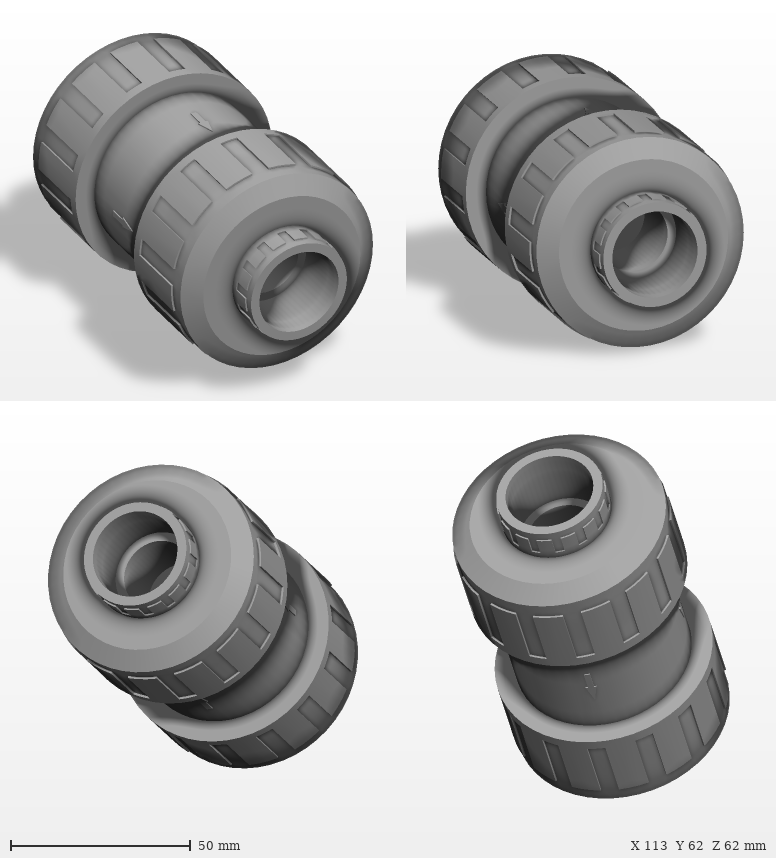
import cadquery as cq
import math

length = 113.0
body_diameter = 50.2

nut_inner_x = 17.2
nut_rib_inner_x = 20.2
nut_rib_outer_x = 39.0
nut_chamfer_x = 43.4
nut_outer_x = 46.4
nut_diameter = 60.8
nut_rib_diameter = 62.0
nut_face_diameter = 49.6

socket_diameter = 30.3
socket_rib_diameter = 31.2
socket_rib_inner_x = 48.5
socket_rib_outer_x = 53.9
socket_bore_diameter = 25.0
socket_bore_depth = 19.0
port_diameter = 20.0

rib_count = 14
rib_angle = 16.0
rib_pitch = 360.0 / rib_count
first_rib_angle = -7.7

arrow_count = 4
arrow_length = 11.3
arrow_head_length = arrow_length / 2
arrow_head_width = 3.0
arrow_shaft_width = 1.7
arrow_height = 0.3


def cylinder(diameter, x_start, x_end):
    """Solid cylinder along X between two x positions."""
    plane = cq.Workplane("YZ", origin=(x_start, 0, 0))
    return plane.circle(diameter / 2).extrude(x_end - x_start)


def ribbed_cylinder(core_diameter, rib_diameter, x_start, rib_inner_x, rib_outer_x, x_end):
    """Full-diameter collar, then ribs standing on a core that runs on to x_end."""
    wedge_radius = rib_diameter
    wedge_half_width = wedge_radius * math.tan(math.radians(rib_angle / 2))
    wedge = (
        cq.Workplane("YZ", origin=(rib_inner_x, 0, 0))
        .polyline([(0, 0), (wedge_half_width, wedge_radius), (-wedge_half_width, wedge_radius)])
        .close()
        .extrude(rib_outer_x - rib_inner_x)
    )
    sleeve = cylinder(2 * rib_diameter, rib_inner_x, x_end).cut(cylinder(core_diameter, rib_inner_x, x_end))
    for index in range(rib_count):
        sleeve = sleeve.cut(wedge.rotate((0, 0, 0), (1, 0, 0), first_rib_angle + index * rib_pitch))
    return cylinder(rib_diameter, x_start, x_end).cut(sleeve)


def union_nut():
    """Nut on the +X end: plain collar, ribbed grip and chamfered outer end."""
    nut = ribbed_cylinder(
        nut_diameter, nut_rib_diameter, nut_inner_x, nut_rib_inner_x, nut_rib_outer_x, nut_outer_x
    )
    chamfer_ring = (
        cq.Workplane("XY")
        .moveTo(nut_chamfer_x, nut_diameter / 2)
        .lineTo(nut_outer_x, nut_face_diameter / 2)
        .lineTo(nut_outer_x, nut_diameter / 2)
        .close()
        .revolve(360, (0, 0, 0), (1, 0, 0))
    )
    return nut.cut(chamfer_ring)


def pipe_socket():
    """Socket end projecting from the nut, ribbed between its collar and rim."""
    return ribbed_cylinder(
        socket_diameter, socket_rib_diameter, nut_outer_x, socket_rib_inner_x, socket_rib_outer_x, length / 2
    )


def stepped_bore():
    """Socket bore and the narrower port behind it, closed by the end of the body."""
    bore_end_x = length / 2 - socket_bore_depth
    bore = cylinder(socket_bore_diameter, bore_end_x, length / 2)
    port = cylinder(port_diameter, nut_inner_x, bore_end_x)
    return bore.union(port)


def flow_arrow():
    """Arrow on top of the body pointing to +X, curved to match the body."""
    half_length = arrow_length / 2
    head_x = half_length - arrow_head_length
    half_shaft = arrow_shaft_width / 2
    half_head = arrow_head_width / 2
    raised_diameter = body_diameter + 2 * arrow_height
    prism = (
        cq.Workplane("XY")
        .moveTo(-half_length, -half_shaft)
        .lineTo(head_x, -half_shaft)
        .lineTo(head_x, -half_head)
        .lineTo(half_length, 0)
        .lineTo(head_x, half_head)
        .lineTo(head_x, half_shaft)
        .lineTo(-half_length, half_shaft)
        .close()
        .extrude(raised_diameter)
    )
    return prism.intersect(cylinder(raised_diameter, -half_length, half_length))


result = cylinder(body_diameter, -nut_inner_x, nut_inner_x)
arrow = flow_arrow()
for index in range(arrow_count):
    result = result.union(arrow.rotate((0, 0, 0), (1, 0, 0), index * 360.0 / arrow_count))

end_assembly = union_nut().union(pipe_socket()).cut(stepped_bore())
for turn in (0, 180):
    result = result.union(end_assembly.rotate((0, 0, 0), (0, 0, 1), turn))